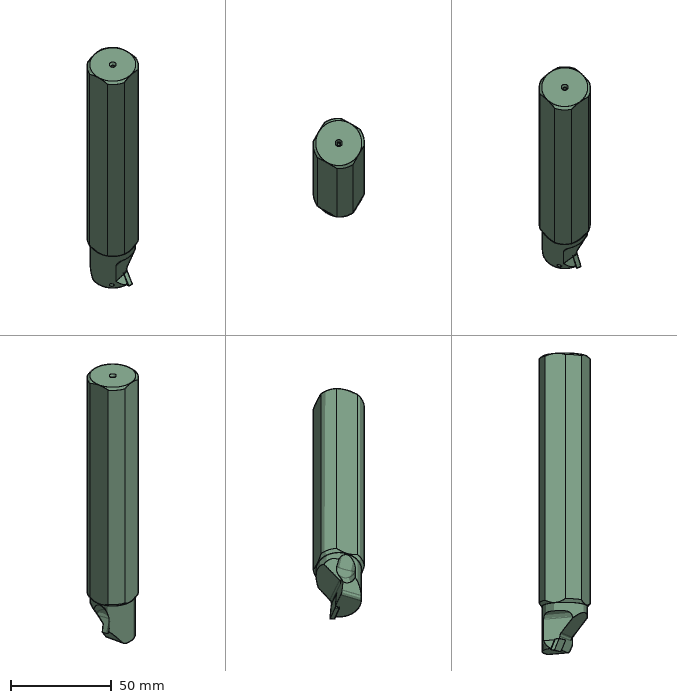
import cadquery as cq
import math


LENGTH = 150.0
SHANK_RADIUS = 12.8
ACROSS_FLATS = 23.0
NECK_LENGTH = 24.2
CHAMFER_WIDTH = 1.4
TOP_CHAMFER_HEIGHT = 1.0
BOTTOM_CHAMFER_HEIGHT = 1.6

CENTRE_HOLE_DIAMETER = 1.8
CENTRE_HOLE_DEPTH = 4.5
CENTRE_SINK_DIAMETER = 3.5
CENTRE_SINK_ANGLE = 60.0

NECK_RADIUS = 11.2
NECK_BOTTOM = 1.4
HEEL_X = -10.2
HEEL_TOP = 9.5
HEEL_ANGLE = 56.0
HEEL_ROUND = 2.7

OVERALL_WIDTH = 23.7
NOSE_X = OVERALL_WIDTH - ACROSS_FLATS / 2
NOSE_RADIUS = 0.3
INSERT_ANGLE = 55.0
INSERT_CIRCLE = 6.3
INSERT_THICKNESS = 2.4
INSERT_RELIEF = 7.0
END_CLEARANCE = 4.0
RAKE_TILT = 7.0
SCREW_HOLE_DIAMETER = 1.8

STEP_X = 8.1
STEP_TOP = 20.1
STEP_ROUND = 3.2
SEAT_INSET = 0.5

GULLET_TOP = 24.0
FLOOR_ANGLE = 41.7
FLOOR_AXIS_Z = 7.5
FLOOR_ROUND = 3.0
CORNER_ANGLE = 28.5
CORNER_AXIS_Z = -0.6
CORNER_TURN = 50.0

BALL_RADIUS = 4.8
BALL_CENTRE = cq.Vector(-9.5, -0.3, 14.8)
ENTRY_ANGLE = 45.0
CHANNEL_TILT = 22.0

REACH = 15.0


def make_shank():
    body_length = LENGTH - NECK_LENGTH
    shoulder_radius = SHANK_RADIUS - CHAMFER_WIDTH
    profile = [
        (0, NECK_LENGTH),
        (shoulder_radius, NECK_LENGTH),
        (SHANK_RADIUS, NECK_LENGTH + BOTTOM_CHAMFER_HEIGHT),
        (SHANK_RADIUS, LENGTH - TOP_CHAMFER_HEIGHT),
        (shoulder_radius, LENGTH),
        (0, LENGTH),
    ]
    round_bar = cq.Workplane("XZ").polyline(profile).close().revolve(360, (0, 0), (0, 1))
    square = (
        cq.Workplane("XY", origin=(0, 0, NECK_LENGTH))
        .rect(ACROSS_FLATS, ACROSS_FLATS)
        .extrude(body_length)
    )
    return (
        round_bar.intersect(square)
        .faces(">Z")
        .workplane(origin=(0, 0, LENGTH))
        .cskHole(CENTRE_HOLE_DIAMETER, CENTRE_SINK_DIAMETER, CENTRE_SINK_ANGLE, CENTRE_HOLE_DEPTH)
    )


def make_neck():
    neck = (
        cq.Workplane("XY", origin=(0, 0, NECK_BOTTOM))
        .circle(NECK_RADIUS)
        .extrude(NECK_LENGTH - NECK_BOTTOM)
    )
    heel_run = (HEEL_TOP - NECK_BOTTOM) / math.tan(math.radians(HEEL_ANGLE))
    above_run = (NECK_LENGTH - HEEL_TOP) / math.tan(math.radians(HEEL_ANGLE))
    heel_outline = [
        (HEEL_X + heel_run, NECK_BOTTOM),
        (REACH, NECK_BOTTOM),
        (REACH, NECK_LENGTH),
        (HEEL_X - above_run, NECK_LENGTH),
    ]
    heel_keep = (
        cq.Workplane("XZ")
        .polyline(heel_outline)
        .close()
        .extrude(REACH, both=True)
        .edges(cq.selectors.NearestToPointSelector((HEEL_X + heel_run, 0, NECK_BOTTOM)))
        .fillet(HEEL_ROUND)
    )
    return neck.intersect(heel_keep)


def make_step_cutter():
    """Flat step on the +X side, its lower end sloping out parallel to the insert edge."""
    slope = math.tan(math.radians(INSERT_ANGLE + END_CLEARANCE))
    seat_x = NOSE_X - SEAT_INSET
    return (
        cq.Workplane("XZ")
        .moveTo(seat_x, 0)
        .lineTo(STEP_X, (seat_x - STEP_X) * slope)
        .lineTo(STEP_X, STEP_TOP - STEP_ROUND)
        .radiusArc((STEP_X + STEP_ROUND, STEP_TOP), STEP_ROUND)
        .lineTo(REACH, STEP_TOP)
        .lineTo(REACH, 0)
        .close()
        .extrude(REACH, both=True)
    )


def make_half_space(angle, axis_z, turn=0.0):
    """Space on the +Y side of a plane tilted from vertical, then turned about the bar axis."""
    slope = math.tan(math.radians(angle))
    outline = [
        ((-REACH - axis_z) * slope, -REACH),
        (2 * REACH, -REACH),
        (2 * REACH, GULLET_TOP),
        ((GULLET_TOP - axis_z) * slope, GULLET_TOP),
    ]
    space = cq.Workplane("YZ").polyline(outline).close().extrude(2 * REACH, both=True)
    return space.rotate((0, 0, 0), (0, 0, 1), turn)


def make_gullet_cutter():
    """Space in front of the rake face, with a sloping floor and a sloping flat at the -X corner."""
    rake_side = make_half_space(RAKE_TILT, 0)
    main_gullet = (
        rake_side.intersect(make_half_space(FLOOR_ANGLE, FLOOR_AXIS_Z))
        .edges(cq.selectors.NearestToPointSelector((0, 0, FLOOR_AXIS_Z)))
        .fillet(FLOOR_ROUND)
    )
    corner = rake_side.intersect(make_half_space(CORNER_ANGLE, CORNER_AXIS_Z, CORNER_TURN))
    return main_gullet.union(corner)


def make_channel_cutter():
    """A ball with one round cut leaving it up and outward and one down and outward."""
    entry = math.radians(ENTRY_ANGLE)
    tilt = math.radians(CHANNEL_TILT)
    entry_direction = cq.Vector(-math.cos(entry), 0, math.sin(entry))
    channel_direction = cq.Vector(-math.sin(tilt), 0, -math.cos(tilt))
    cutter = cq.Workplane("XY").sphere(BALL_RADIUS).translate(BALL_CENTRE)
    for direction in (entry_direction, channel_direction):
        cutter = cutter.union(
            cq.Workplane(cq.Solid.makeCylinder(BALL_RADIUS, REACH, BALL_CENTRE, direction))
        )
    return cutter


def make_insert():
    """Rhombus with a rounded nose, its sides drawn in below the rake face."""
    side = INSERT_CIRCLE / math.sin(math.radians(INSERT_ANGLE))
    nose_offset = NOSE_RADIUS / math.sin(math.radians(INSERT_ANGLE / 2))
    end_angle = math.radians(180 - END_CLEARANCE)
    side_angle = end_angle - math.radians(INSERT_ANGLE)
    middle_angle = (end_angle + side_angle) / 2
    tip = (
        NOSE_X - NOSE_RADIUS - nose_offset * math.cos(middle_angle),
        NOSE_RADIUS - nose_offset * math.sin(middle_angle),
    )
    end_step = (side * math.cos(end_angle), side * math.sin(end_angle))
    side_step = (side * math.cos(side_angle), side * math.sin(side_angle))
    rhombus = [
        tip,
        (tip[0] + side_step[0], tip[1] + side_step[1]),
        (tip[0] + side_step[0] + end_step[0], tip[1] + side_step[1] + end_step[1]),
        (tip[0] + end_step[0], tip[1] + end_step[1]),
    ]
    outline = cq.Sketch().polygon(rhombus + [tip]).vertices(">X").fillet(NOSE_RADIUS)
    flat_insert = (
        cq.Workplane("XZ").placeSketch(outline).extrude(INSERT_THICKNESS, taper=INSERT_RELIEF)
    )
    return flat_insert.rotate((0, 0, 0), (1, 0, 0), -RAKE_TILT)


def make_screw_hole():
    """Hole along Y through the neck wall behind the middle of the insert."""
    half_diagonal = INSERT_CIRCLE / 2 / math.sin(math.radians(INSERT_ANGLE / 2))
    middle_angle = math.radians(END_CLEARANCE + INSERT_ANGLE / 2)
    centre_x = NOSE_X - half_diagonal * math.cos(middle_angle)
    centre_z = half_diagonal * math.sin(middle_angle)
    return (
        cq.Workplane("XZ")
        .center(centre_x, centre_z)
        .circle(SCREW_HOLE_DIAMETER / 2)
        .extrude(REACH)
    )


insert = make_insert()

neck = (
    make_neck()
    .cut(make_step_cutter())
    .cut(make_gullet_cutter())
    .cut(make_channel_cutter())
    .cut(make_screw_hole())
    .cut(insert)
)
bar = make_shank().union(neck)

result = cq.Compound.makeCompound([bar.val(), insert.val()])